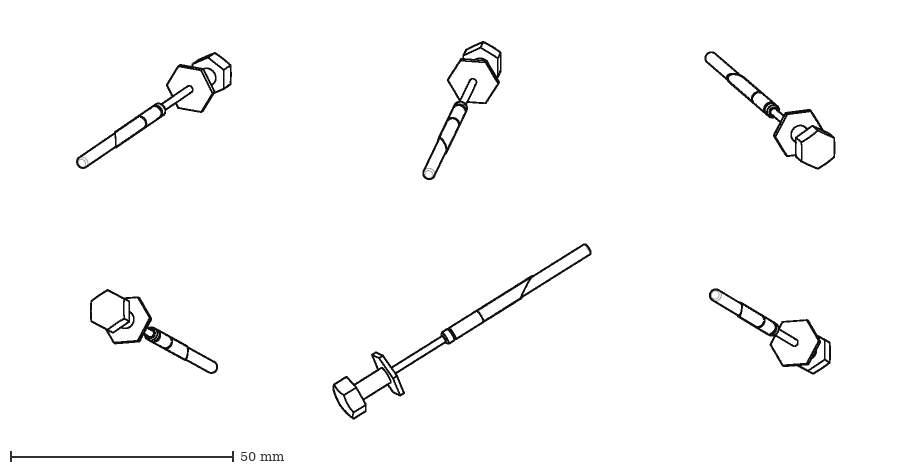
import cadquery as cq
import math

OVERALL_LENGTH = 66.8

HEAD_ACROSS_FLATS = 7.95
HEAD_LENGTH = 4.35
DOME_HEIGHT = 1.0
SHANK_DIAMETER = 3.95
SHANK_LENGTH = 8.0

PLATE_ACROSS_FLATS = 10.0
PLATE_THICKNESS = 1.1

STEM_DIAMETER = 1.6
STEM_LENGTH = 14.5

BARREL_DIAMETER = 3.0
BARREL_LENGTH = 9.75
BARREL_CHAMFER = 0.4
COLLAR_LENGTH = 2.1
GROOVE_WIDTH = 0.4
GROOVE_DEPTH = 0.2
SLEEVE_LONG_SIDE = 15.15
SLANT_ANGLE = 60.0

ROD_DIAMETER = 2.7
TIP_ROUNDING = 0.4

HEAD_BASE_Y = OVERALL_LENGTH - HEAD_LENGTH
PLATE_TOP_Y = HEAD_BASE_Y - SHANK_LENGTH
PLATE_BASE_Y = PLATE_TOP_Y - PLATE_THICKNESS
BARREL_TOP_Y = PLATE_BASE_Y - STEM_LENGTH
GROOVE_Y = BARREL_TOP_Y - COLLAR_LENGTH
BARREL_BASE_Y = BARREL_TOP_Y - BARREL_LENGTH
SLEEVE_TIP_Y = BARREL_BASE_Y - SLEEVE_LONG_SIDE


def plane_at(y):
    """Plane square to the axis, with its normal along +Y and its local x along X."""
    return cq.Workplane(cq.Plane(origin=(0, y, 0), xDir=(1, 0, 0), normal=(0, 1, 0)))


def cylinder(y, length, diameter):
    return plane_at(y).circle(diameter / 2).extrude(length)


def across_corners(across_flats):
    return across_flats / math.cos(math.pi / 6)


def hexagon(y, length, across_flats):
    """Hexagonal prism with two corners on the X axis."""
    return plane_at(y).polygon(6, across_corners(across_flats)).extrude(length)


def make_head():
    """Hexagon head with corners along Z, a spherical top and a round shank."""
    head = hexagon(HEAD_BASE_Y, HEAD_LENGTH, HEAD_ACROSS_FLATS)
    head = head.rotate((0, 0, 0), (0, 1, 0), 30)
    corner_radius = across_corners(HEAD_ACROSS_FLATS) / 2
    dome_radius = (corner_radius**2 + DOME_HEIGHT**2) / (2 * DOME_HEIGHT)
    dome = cq.Workplane("XZ").sphere(dome_radius).translate((0, OVERALL_LENGTH - dome_radius, 0))
    head = head.intersect(dome)
    return head.union(cylinder(PLATE_TOP_Y, SHANK_LENGTH, SHANK_DIAMETER))


def make_plate():
    return hexagon(PLATE_BASE_Y, PLATE_THICKNESS, PLATE_ACROSS_FLATS)


def make_stem():
    return cylinder(BARREL_TOP_Y, STEM_LENGTH, STEM_DIAMETER)


def make_barrel():
    """Round barrel with a chamfered end and a V groove that sets off its collar."""
    barrel = cylinder(BARREL_BASE_Y, BARREL_LENGTH, BARREL_DIAMETER)
    barrel = barrel.faces(">Y").edges().chamfer(BARREL_CHAMFER)
    radius = BARREL_DIAMETER / 2
    groove = (
        cq.Workplane("XY")
        .moveTo(radius, GROOVE_Y - GROOVE_WIDTH / 2)
        .lineTo(radius - GROOVE_DEPTH, GROOVE_Y)
        .lineTo(radius, GROOVE_Y + GROOVE_WIDTH / 2)
        .close()
        .revolve(360, (0, 0, 0), (0, 1, 0))
    )
    return barrel.cut(groove)


def make_sleeve():
    """Tube whose lower end is cut on a slant, longest on the +X side."""
    radius = BARREL_DIAMETER / 2
    short_side_y = SLEEVE_TIP_Y + BARREL_DIAMETER * math.tan(math.radians(SLANT_ANGLE))
    side_outline = [
        (-radius, BARREL_BASE_Y),
        (radius, BARREL_BASE_Y),
        (radius, SLEEVE_TIP_Y),
        (-radius, short_side_y),
    ]
    side_profile = cq.Workplane("XY").polyline(side_outline).close().extrude(radius, both=True)
    sleeve = cylinder(SLEEVE_TIP_Y, SLEEVE_LONG_SIDE, BARREL_DIAMETER).intersect(side_profile)
    return sleeve.cut(cylinder(SLEEVE_TIP_Y, SLEEVE_LONG_SIDE, ROD_DIAMETER))


def make_rod():
    """Lower rod with a rounded tip, filling the sleeve up to the barrel."""
    rod = cylinder(0, BARREL_BASE_Y, ROD_DIAMETER)
    return rod.faces("<Y").edges().fillet(TIP_ROUNDING)


head = make_head()
plate = make_plate()
stem = make_stem()
barrel = make_barrel()
sleeve = make_sleeve()
rod = make_rod()

result = cq.Compound.makeCompound(
    [head.val(), plate.val(), stem.val(), barrel.val(), sleeve.val(), rod.val()]
)